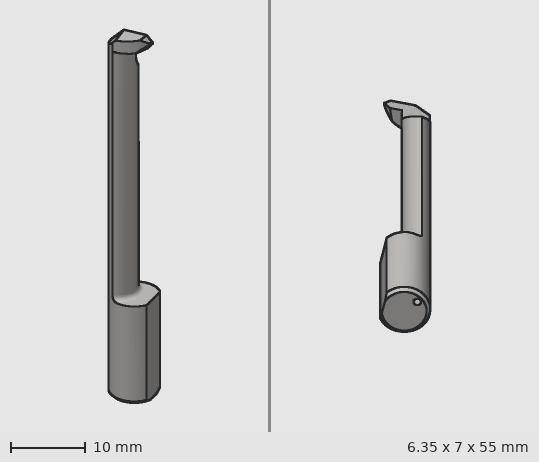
import cadquery as cq
import math

total_length = 55.0

shank_radius = 3.5
shank_length = 15.0
flat_x = 2.85
end_chamfer = 0.5

neck_edge_x = 0.27
relief_radius = 3.27
neck_fillet = 0.75
relief_center_x = neck_edge_x - relief_radius
lens_corner_x = (shank_radius**2 - relief_radius**2 + relief_center_x**2) / (2 * relief_center_x)
lens_corner_y = math.sqrt(shank_radius**2 - lens_corner_x**2)

head_height = 2.0
head_bottom = total_length - head_height
tip_x = 2.8
tip_z = head_bottom + head_height / 2
tip_land = 0.05
nose_radius = 0.1
upper_side_angle = 46.0
lower_side_angle = 50.0
flank_start_x = -1.05
flank_start_y = -2.95
flank_mid_x = 0.35
flank_mid_y = -2.5
top_relief_angle = 3.0
upper_relief_angle = 7.0
lower_relief_angle = 16.0

bevel_top_x = -1.55
bevel_angle = 45.0
bevel_turn = 7.0

ramp_start_z = 50.7
ramp_end_z = 47.0
rake_fillet = 1.4

hole_diameter = 1.0
hole_x = -1.4
hole_y = 1.8

margin = 10.0


def make_shank():
    """Round bar, chamfered at its foot and then flattened on the +X side."""
    bar = cq.Workplane("XY").circle(shank_radius).extrude(shank_length)
    bar = bar.faces("<Z").chamfer(end_chamfer)
    flat = cq.Workplane("XY").box(margin, 2 * margin, shank_length, centered=(False, True, False))
    return bar.cut(flat.translate((flat_x, 0, 0)))


def make_neck():
    """Two arcs meeting at sharp corners, carried up to the full length."""
    return (
        cq.Workplane("XY", origin=(0, 0, shank_length))
        .moveTo(lens_corner_x, lens_corner_y)
        .threePointArc((-shank_radius, 0), (lens_corner_x, -lens_corner_y))
        .threePointArc((neck_edge_x, 0), (lens_corner_x, lens_corner_y))
        .close()
        .extrude(total_length - shank_length)
    )


def make_root_fillet():
    """Flared ring that blends the neck's inner arc into the shank's end face."""
    outer = relief_radius + neck_fillet
    mid = neck_fillet * (1 - math.sqrt(0.5))
    ring = (
        cq.Workplane("XZ")
        .moveTo(0, shank_length)
        .lineTo(outer, shank_length)
        .threePointArc((relief_radius + mid, shank_length + mid), (relief_radius, shank_length + neck_fillet))
        .lineTo(0, shank_length + neck_fillet)
        .close()
        .revolve(360, (0, 0), (0, 1))
        .translate((relief_center_x, 0, 0))
    )
    envelope = cq.Workplane("XY").circle(shank_radius).extrude(total_length)
    return ring.intersect(envelope)


def make_half_space():
    """Large block standing on Z = 0, to be tilted and used as a planar cutter."""
    return cq.Workplane("XY").box(2 * margin, 2 * margin, margin, centered=(True, True, False))


def make_tooth():
    """Head with a curved flank, trimmed to a point by two sloping sides."""
    tooth = (
        cq.Workplane("XY", origin=(0, 0, head_bottom))
        .moveTo(lens_corner_x, 0)
        .lineTo(tip_x, 0)
        .lineTo(tip_x, -tip_land)
        .threePointArc((flank_mid_x, flank_mid_y), (flank_start_x, flank_start_y))
        .lineTo(lens_corner_x, -lens_corner_y)
        .close()
        .extrude(head_height)
    )
    tip = (tip_x, 0, tip_z)
    upper = (
        make_half_space()
        .rotate((0, 0, 0), (1, 0, 0), upper_relief_angle)
        .rotate((0, 0, 0), (0, 1, 0), upper_side_angle)
    )
    lower = (
        make_half_space()
        .mirror("XY")
        .rotate((0, 0, 0), (1, 0, 0), -lower_relief_angle)
        .rotate((0, 0, 0), (0, 1, 0), -lower_side_angle)
    )
    pointed = tooth.cut(upper.translate(tip)).cut(lower.translate(tip))
    return pointed.edges(cq.selectors.NearestToPointSelector(tip)).fillet(nose_radius)


def make_top_cutter():
    """Slopes the head's top face down towards -Y, away from the rake face."""
    return make_half_space().rotate((0, 0, 0), (1, 0, 0), top_relief_angle).translate((0, 0, total_length))


def make_bevel_cutter():
    """Slopes the -X side of the head down from its top face."""
    return (
        make_half_space()
        .rotate((0, 0, 0), (0, 1, 0), -bevel_angle)
        .rotate((0, 0, 0), (0, 0, 1), bevel_turn)
        .translate((bevel_top_x, 0, total_length))
    )


def make_rake_cutter():
    """Removes the +Y half above a ramp; the ramp's foot is rounded."""
    slope = (ramp_start_z - ramp_end_z) / lens_corner_y
    cutter = (
        cq.Workplane("YZ", origin=(-margin, 0, 0))
        .moveTo(0, total_length + margin)
        .lineTo(0, ramp_start_z)
        .lineTo(margin, ramp_start_z - slope * margin)
        .lineTo(margin, total_length + margin)
        .close()
        .extrude(2 * margin)
    )
    foot = cq.selectors.NearestToPointSelector((0, 0, ramp_start_z))
    return cutter.edges(foot).fillet(rake_fillet)


def make_coolant_hole():
    """Bore running the whole way up, opening on the ramp."""
    start = cq.Workplane("XY", origin=(hole_x, hole_y, 0))
    return start.circle(hole_diameter / 2).extrude(total_length)


result = (
    make_shank()
    .union(make_neck())
    .union(make_root_fillet())
    .union(make_tooth())
    .cut(make_rake_cutter())
    .cut(make_top_cutter())
    .cut(make_bevel_cutter())
    .cut(make_coolant_hole())
)